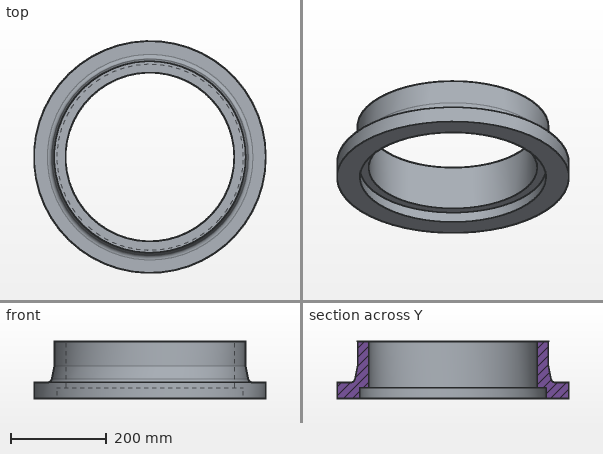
import cadquery as cq

flange_diameter = 485.0
flange_thickness = 34.0
height = 120.0
neck_diameter = 400.0
bore_diameter = 352.0
neck_bottom_z = 68.5
taper_base_diameter = 411.0
taper_base_z = 41.5
root_diameter = 429.5
recess_diameter = 389.0
recess_depth = 22.5

flange_radius = flange_diameter / 2
neck_radius = neck_diameter / 2
bore_radius = bore_diameter / 2
taper_base_radius = taper_base_diameter / 2
root_radius = root_diameter / 2
recess_radius = recess_diameter / 2

profile = (
    cq.Workplane("XZ")
    .moveTo(recess_radius, 0)
    .lineTo(flange_radius, 0)
    .lineTo(flange_radius, flange_thickness)
    .lineTo(root_radius, flange_thickness)
    .tangentArcPoint((taper_base_radius, taper_base_z), relative=False)
    .lineTo(neck_radius, neck_bottom_z)
    .lineTo(neck_radius, height)
    .lineTo(bore_radius, height)
    .lineTo(bore_radius, recess_depth)
    .lineTo(recess_radius, recess_depth)
    .close()
)

result = profile.revolve(360, (0, 0, 0), (0, 1, 0))